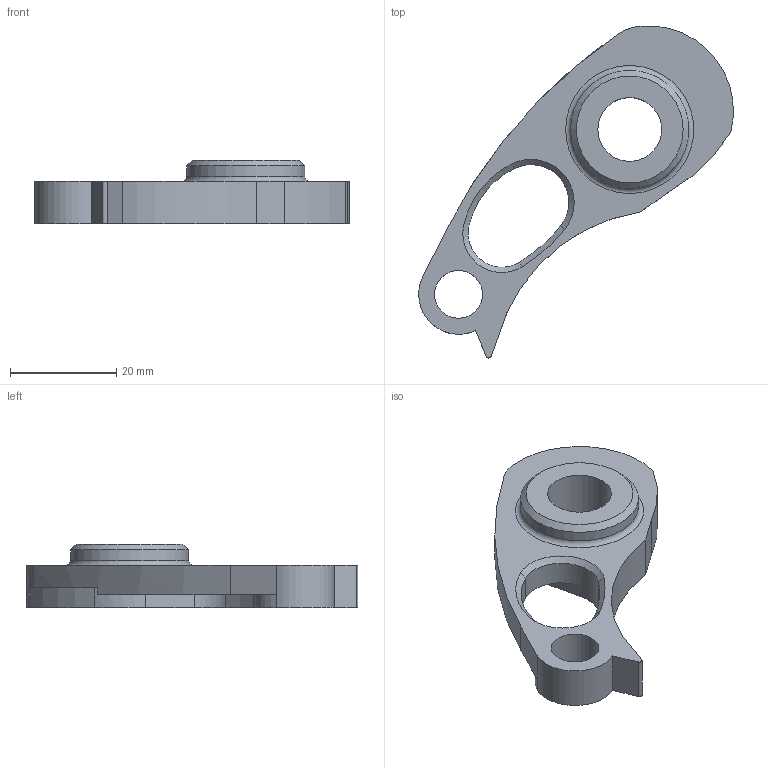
import cadquery as cq
import math

plate_height = 7.95
total_height = 11.9
flange_floor = 2.45
dropout_floor = 3.75

bore_radius = 6.0
boss_radius = 11.1
boss_chamfer = 1.05
boss_fillet = 0.95
seat_radius = 14.0

end_center = (-32.2, -31.0)
end_radius = 7.5
end_hole_radius = 4.5

crown_center = (3.5, 3.5)
crown_radius = 16.0
back_center = (52.9, -63.0)
back_radius = 97.9
inner_radius = 33.0
shoulder_radius = 32.5
crown_right = (19.0, -0.5)
shoulder_end = (7.28, -11.8)
waist = (2.05, -15.5)
spur_root = (-23.2, -34.7)
spur_tip = (-26.5, -43.85)
spur_notch = (-29.0, -37.8)
spur_tip_radius = 0.5
crown_right_fillet = 2.0
crown_left_fillet = 8.5

window_center_1 = (-18.55, -13.7)
window_radius_1 = 7.1
window_center_2 = (-24.05, -19.55)
window_radius_2 = 6.35
window_back_radius = 16.0
window_front_radius = 30.0
window_chamfer = 1.0
window_chamfer_angle = 45.0

dropout_start_y = 6.0
seat_end_y = 6.6
dropout_wall_end = (-0.55, 18.75)
relief_clearance = 10.0


def polar(center, radius, angle):
    """Point on a circle; the angle is in radians."""
    return (center[0] + radius * math.cos(angle), center[1] + radius * math.sin(angle))


def direction(start, end):
    """Angle in radians of the line from start to end."""
    return math.atan2(end[1] - start[1], end[0] - start[0])


def circle_crossing(center_1, radius_1, center_2, radius_2, side):
    """Crossing point of two circles, left (+1) or right (-1) of the line from centre 1 to 2."""
    span = math.dist(center_1, center_2)
    opening = math.acos((span**2 + radius_1**2 - radius_2**2) / (2 * span * radius_1))
    return polar(center_1, radius_1, direction(center_1, center_2) + side * opening)


def outer_tangent_angle(center_1, radius_1, center_2, radius_2, side):
    """Normal angle of the line touching both circles on the same side."""
    lean = math.acos((radius_1 - radius_2) / math.dist(center_1, center_2))
    return direction(center_1, center_2) + side * lean


back_top = circle_crossing(crown_center, crown_radius, back_center, back_radius, 1)
back_angle = outer_tangent_angle(back_center, back_radius, end_center, end_radius, -1)
back_bottom = polar(back_center, back_radius, back_angle)
end_start = polar(end_center, end_radius, back_angle)


def make_plate():
    """Curved plate with a round crown, a small round end and a pointed spur."""
    back_mid_angle = (direction(back_center, back_top) + back_angle) / 2
    crown_mid_angle = math.pi / 4
    end_mid_angle = direction(end_center, spur_notch) - math.pi / 2
    outline = (
        cq.Workplane("XY")
        .moveTo(*back_top)
        .threePointArc(polar(crown_center, crown_radius, crown_mid_angle), crown_right)
        .radiusArc(shoulder_end, shoulder_radius)
        .lineTo(*waist)
        .radiusArc(spur_root, -inner_radius)
        .lineTo(*spur_tip)
        .lineTo(*spur_notch)
        .threePointArc(polar(end_center, end_radius, end_mid_angle), end_start)
        .lineTo(*back_bottom)
        .threePointArc(polar(back_center, back_radius, back_mid_angle), back_top)
        .close()
    )
    plate = outline.extrude(plate_height)
    roundings = (
        (spur_tip, spur_tip_radius),
        (crown_right, crown_right_fillet),
        (back_top, crown_left_fillet),
    )
    for corner, radius in roundings:
        corner_edge = cq.selectors.NearestToPointSelector((*corner, plate_height / 2))
        plate = plate.edges("|Z").edges(corner_edge).fillet(radius)
    return plate


def window_side(bulge_radius, side):
    """Start, middle and end of a bulged side that runs tangentially from round end 1 to 2."""
    bulge_center = circle_crossing(
        window_center_1,
        bulge_radius - window_radius_1,
        window_center_2,
        bulge_radius - window_radius_2,
        side,
    )
    start = polar(bulge_center, bulge_radius, direction(bulge_center, window_center_1))
    end = polar(bulge_center, bulge_radius, direction(bulge_center, window_center_2))
    halfway = ((start[0] + end[0]) / 2, (start[1] + end[1]) / 2)
    middle = polar(bulge_center, bulge_radius, direction(bulge_center, halfway))
    return start, middle, end


def make_window_cutter():
    """Through window made of four tangent arcs, widened by a chamfer at the top face."""
    axis_angle = direction(window_center_2, window_center_1)
    tip_1 = polar(window_center_1, window_radius_1, axis_angle)
    tip_2 = polar(window_center_2, window_radius_2, axis_angle + math.pi)
    back_start, back_middle, back_end = window_side(window_back_radius, 1)
    front_start, front_middle, front_end = window_side(window_front_radius, -1)
    outline = (
        cq.Workplane("XY")
        .moveTo(*front_start)
        .threePointArc(tip_1, back_start)
        .threePointArc(back_middle, back_end)
        .threePointArc(tip_2, front_end)
        .threePointArc(front_middle, front_start)
        .close()
    )
    through = outline.extrude(plate_height)
    rim_profile = through.faces(">Z").wires().toPending().offset2D(window_chamfer)
    rim = rim_profile.extrude(-window_chamfer, taper=window_chamfer_angle)
    return through.union(rim)


def make_relief_cutter():
    """Space below the flange, behind the seat wall, the window and the small end."""
    seat_center = (0.0, 0.0)
    seat_end_angle = math.pi - math.asin(seat_end_y / seat_radius)
    seat_end = polar(seat_center, seat_radius, seat_end_angle)

    span = math.dist(seat_center, window_center_1)
    lean = math.acos((seat_radius + window_radius_1) / span)
    web_angle = direction(seat_center, window_center_1) - lean
    web_start = polar(seat_center, seat_radius, web_angle)
    web_end = polar(window_center_1, window_radius_1, web_angle + math.pi)
    seat_middle = polar(seat_center, seat_radius, math.pi)

    outside_x = end_center[0] - end_radius - relief_clearance
    outside_y = back_top[1] + relief_clearance
    outline = (
        cq.Workplane("XY")
        .moveTo(*window_center_1)
        .lineTo(*web_end)
        .lineTo(*web_start)
        .threePointArc(seat_middle, seat_end)
        .tangentArcPoint(dropout_wall_end, relative=False)
        .lineTo(dropout_wall_end[0], outside_y)
        .lineTo(outside_x, outside_y)
        .lineTo(outside_x, end_center[1])
        .lineTo(*end_center)
        .lineTo(*window_center_2)
        .close()
    )
    small_end = cq.Workplane("XY").center(*end_center).circle(end_radius).extrude(plate_height)
    step_width = seat_center[0] - outside_x
    step_length = dropout_start_y - end_center[1]
    flange_step = (
        cq.Workplane("XY")
        .box(step_width, step_length, dropout_floor - flange_floor, centered=False)
        .translate((outside_x, end_center[1], flange_floor))
    )
    return outline.extrude(dropout_floor).cut(flange_step).cut(small_end)


def make_boss():
    """Chamfered boss with a concave fillet flaring onto the top face."""
    profile = (
        cq.Workplane("XZ")
        .moveTo(0, plate_height)
        .lineTo(boss_radius + boss_fillet, plate_height)
        .radiusArc((boss_radius, plate_height + boss_fillet), boss_fillet)
        .lineTo(boss_radius, total_height - boss_chamfer)
        .lineTo(boss_radius - boss_chamfer, total_height)
        .lineTo(0, total_height)
        .close()
    )
    return profile.revolve(360, (0, 0, 0), (0, 1, 0))


bore = cq.Workplane("XY").circle(bore_radius).extrude(total_height)
end_hole = cq.Workplane("XY").center(*end_center).circle(end_hole_radius).extrude(plate_height)

result = (
    make_plate()
    .cut(make_relief_cutter())
    .union(make_boss())
    .cut(make_window_cutter())
    .cut(bore)
    .cut(end_hole)
)